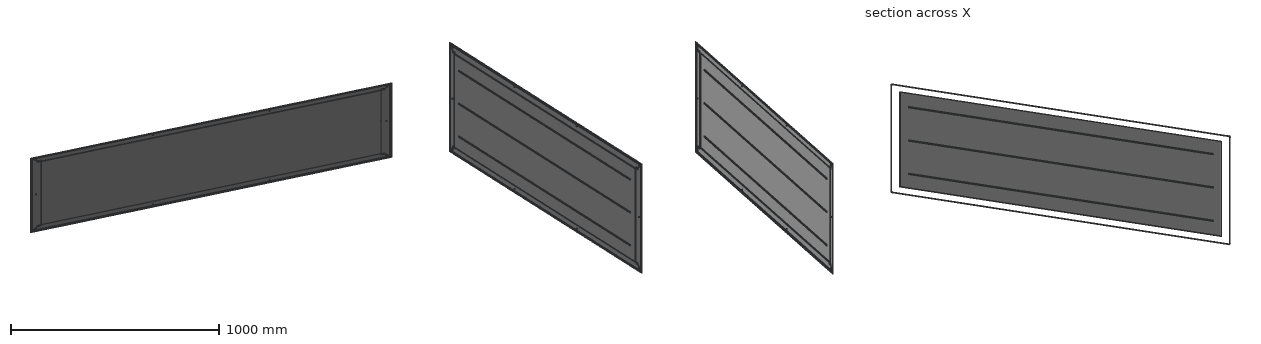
import cadquery as cq
import math

LENGTH = 1797.0
HEIGHT = 566.0
DEPTH = 10.0
BACK_X = DEPTH / 2

BACK_THICKNESS = 2.0
RIM_BEAD_RADIUS = 3.2
RIM_BEAD_INSET = 6.5
RIM_CORNER_RADIUS = 5.0

SHEET = 1.0
FACE_LENGTH = 1693.0
FACE_HEIGHT = 485.0
FOOT_RADIUS = 2.2
FLANGE_INSET = RIM_BEAD_INSET + RIM_BEAD_RADIUS

BEAD_HEIGHT = 2.0
BEAD_HALF_WIDTH = 3.5
BEAD_LENGTH = 1607.0
BEAD_PITCH = 170.0

RELIEF_LENGTH = 20.0
RELIEF_WIDTH = 9.0
MITRE_GAP = 0.9

HOLE_DIAMETER = 5.0
HOLE_Y = 872.0
HOLE_Z = 266.0
HOLES_PER_LONG_SIDE = 4

BACK_FRONT_X = BACK_X - BACK_THICKNESS
FLANGE_FRONT_X = BACK_FRONT_X - SHEET
FLANGE_CORNER_RADIUS = RIM_CORNER_RADIUS - RIM_BEAD_RADIUS
FACE_X = -DEPTH / 2 + BEAD_HEIGHT
FLANGE_LENGTH = LENGTH - 2 * FLANGE_INSET
FLANGE_HEIGHT = HEIGHT - 2 * FLANGE_INSET
BEAD_RADIUS = (BEAD_HALF_WIDTH**2 + BEAD_HEIGHT**2) / (2 * BEAD_HEIGHT)
BEAD_AXIS_X = -DEPTH / 2 + BEAD_RADIUS


def slab(length, height, front_x, back_x):
    """Rectangular plate centred on the X axis, between two X positions."""
    return cq.Workplane("YZ", origin=(front_x, 0, 0)).rect(length, height).extrude(back_x - front_x)


def screw_holes():
    """Cylinders through the full depth: a row along each long side and one at the middle of each end."""
    pitch = 2 * HOLE_Y / (HOLES_PER_LONG_SIDE - 1)
    points = [(side * HOLE_Y, 0) for side in (-1, 1)]
    for side in (-1, 1):
        points += [(-HOLE_Y + i * pitch, side * HOLE_Z) for i in range(HOLES_PER_LONG_SIDE)]
    plane = cq.Workplane("YZ", origin=(-DEPTH / 2, 0, 0))
    return plane.pushPoints(points).circle(HOLE_DIAMETER / 2).extrude(DEPTH)


def rounded_rectangle(length, height):
    """Closed path on the front of the back sheet, starting at the middle of its +Y end."""
    y = length / 2
    z = height / 2
    straight_y = y - RIM_CORNER_RADIUS
    straight_z = z - RIM_CORNER_RADIUS
    bulge = RIM_CORNER_RADIUS * math.sqrt(0.5)
    return (
        cq.Workplane("YZ", origin=(BACK_FRONT_X, 0, 0))
        .moveTo(y, 0)
        .lineTo(y, straight_z)
        .threePointArc((straight_y + bulge, straight_z + bulge), (straight_y, z))
        .lineTo(-straight_y, z)
        .threePointArc((-straight_y - bulge, straight_z + bulge), (-y, straight_z))
        .lineTo(-y, -straight_z)
        .threePointArc((-straight_y - bulge, -straight_z - bulge), (-straight_y, -z))
        .lineTo(straight_y, -z)
        .threePointArc((straight_y + bulge, -straight_z - bulge), (y, -straight_z))
        .close()
    )


def rim_bead():
    """Half-round bead along a rounded rectangle, with its flat side on the back sheet."""
    path_length = LENGTH - 2 * RIM_BEAD_INSET
    path_height = HEIGHT - 2 * RIM_BEAD_INSET
    path = rounded_rectangle(path_length, path_height)
    return (
        cq.Workplane("XY", origin=(BACK_FRONT_X, path_length / 2, 0))
        .moveTo(0, -RIM_BEAD_RADIUS)
        .threePointArc((-RIM_BEAD_RADIUS, 0), (0, RIM_BEAD_RADIUS))
        .close()
        .sweep(path)
    )


def back_sheet(holes):
    """Flat sheet over the full outline with the bead standing on its front."""
    return slab(LENGTH, HEIGHT, BACK_FRONT_X, BACK_X).union(rim_bead()).cut(holes)


def bead_rod(radius, z):
    """Round-ended rod along Y whose front bulges out of the raised face."""
    middle = BEAD_LENGTH / 2 - BEAD_HALF_WIDTH
    slant = radius * math.sqrt(0.5)
    return (
        cq.Workplane("XY", origin=(BEAD_AXIS_X, 0, z))
        .moveTo(0, -middle - radius)
        .threePointArc((slant, -middle - slant), (radius, -middle))
        .lineTo(radius, middle)
        .threePointArc((slant, middle + slant), (0, middle + radius))
        .close()
        .revolve(360, (0, 0, 0), (0, 1, 0))
    )


def corner_cut(side_y, side_z):
    """Relief slot and mitre gap at one corner of the flange."""
    depth = BACK_FRONT_X - FLANGE_FRONT_X
    start_y = FACE_LENGTH / 2 + RELIEF_LENGTH
    start_z = FACE_HEIGHT / 2 + RELIEF_WIDTH
    end_y = FLANGE_LENGTH / 2
    end_z = FLANGE_HEIGHT / 2
    plane = cq.Workplane("YZ", origin=(FLANGE_FRONT_X, 0, 0))
    relief = (
        plane.center(side_y * (start_y - RELIEF_LENGTH / 2), side_z * (start_z - RELIEF_WIDTH / 2))
        .rect(RELIEF_LENGTH, RELIEF_WIDTH)
        .extrude(depth)
    )
    mitre = (
        plane.moveTo(side_y * (start_y - MITRE_GAP), side_z * start_z)
        .lineTo(side_y * start_y, side_z * (start_z - MITRE_GAP))
        .lineTo(side_y * end_y, side_z * (end_z - MITRE_GAP))
        .lineTo(side_y * end_y, side_z * end_z)
        .lineTo(side_y * (end_y - MITRE_GAP), side_z * end_z)
        .close()
        .extrude(depth)
    )
    return relief.union(mitre)


def cover(holes):
    """Hollow tray with its flange on the back sheet, stiffened by three beads."""
    flange = slab(FLANGE_LENGTH, FLANGE_HEIGHT, FLANGE_FRONT_X, BACK_FRONT_X)
    flange = flange.edges("|X").fillet(FLANGE_CORNER_RADIUS)
    raised = slab(FACE_LENGTH, FACE_HEIGHT, FACE_X, BACK_FRONT_X)
    body = flange.union(raised)
    foot = cq.selectors.BoxSelector(
        (FLANGE_FRONT_X - SHEET / 2, -FACE_LENGTH / 2 - SHEET, -FACE_HEIGHT / 2 - SHEET),
        (FLANGE_FRONT_X + SHEET / 2, FACE_LENGTH / 2 + SHEET, FACE_HEIGHT / 2 + SHEET),
    )
    body = body.edges(foot).fillet(FOOT_RADIUS)
    body = body.cut(slab(FACE_LENGTH - 2 * SHEET, FACE_HEIGHT - 2 * SHEET, FACE_X + SHEET, BACK_FRONT_X))

    ridge_zone = slab(FACE_LENGTH, FACE_HEIGHT, -DEPTH / 2, FACE_X + SHEET)
    hollow_zone = slab(FACE_LENGTH, FACE_HEIGHT, -DEPTH / 2, BACK_FRONT_X)
    for z in (-BEAD_PITCH, 0, BEAD_PITCH):
        body = body.union(bead_rod(BEAD_RADIUS, z).intersect(ridge_zone))
        body = body.cut(bead_rod(BEAD_RADIUS - SHEET, z).intersect(hollow_zone))

    for side_y in (-1, 1):
        for side_z in (-1, 1):
            body = body.cut(corner_cut(side_y, side_z))
    return body.cut(holes)


screw_hole_cutters = screw_holes()
back = back_sheet(screw_hole_cutters)
tray = cover(screw_hole_cutters)

result = cq.Compound.makeCompound([back.solids().val(), tray.solids().val()])